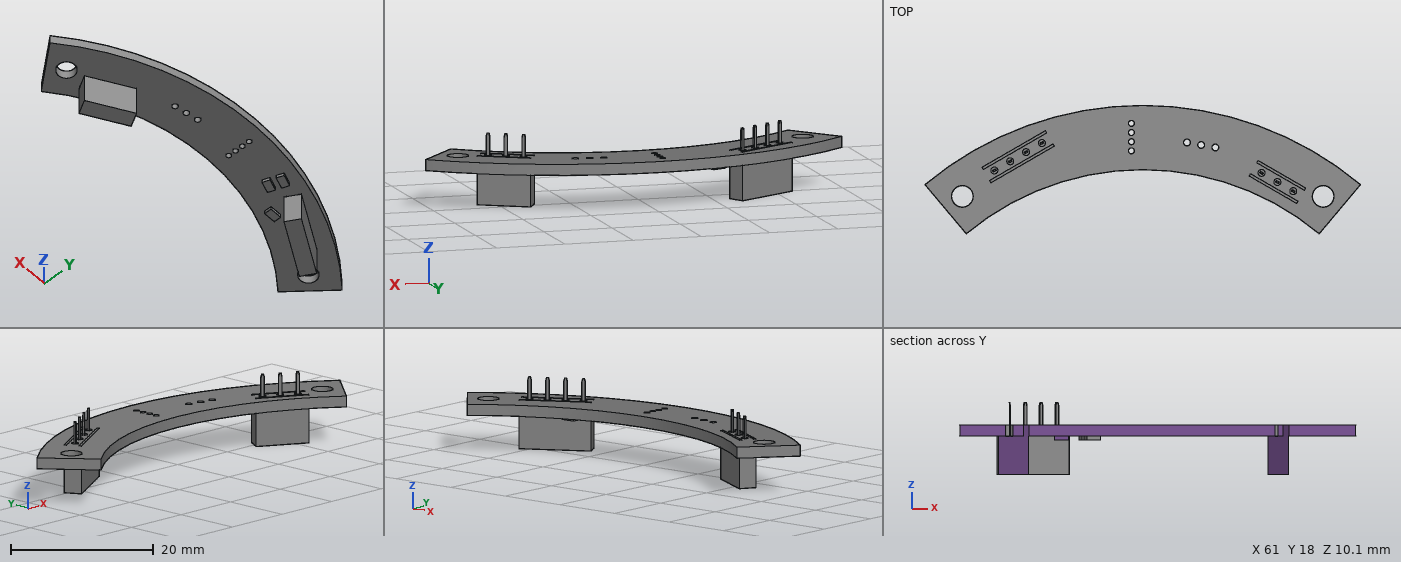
import cadquery as cq
LENGTH = 61.05
DEPTH = 18.0
THICKNESS = 1.6
CORNER_DROP = 11.1
INNER_CROWN_DROP = 9.05
INNER_HALF_SPAN = 24.7

MOUNT_HOLE_D = 3.0
MOUNT_HOLE_X = 25.3
MOUNT_HOLE_DROP = 12.75

COLUMN_HOLE_D = 0.8
COLUMN_HOLES = 4
COLUMN_PITCH = 1.3
COLUMN_CENTRE = (-1.6, -4.45)
COLUMN_ANGLE = 90.0
ROW_HOLE_D = 0.9
ROW_HOLES = 3
ROW_PITCH = 2.0
ROW_CENTRE = (8.2, -5.55)
ROW_ANGLE = -10.0

PIN_PITCH = 2.55
PIN_HOLE_D = 1.0
PIN_WIDTH = 0.5
PIN_DEPTH = 0.25
PIN_HEIGHT = 3.1
TIP_BEVEL_WIDTH = 0.1
TIP_BEVEL_HEIGHT = 0.4
HOUSING_WIDTH = 2.5
HOUSING_HEIGHT = 5.4
RAIL_WIDTH = 0.35
LEFT_CONNECTOR = (4, (-17.45, -7.2), 30.0)
RIGHT_CONNECTOR = (3, (18.85, -10.75), -30.0)

CHIP_LENGTH = 2.0
CHIP_WIDTH = 1.2
CHIP_HEIGHT = 0.55
CHIPS = [
    ((-13.5, -8.85), 0.0),
    ((-9.9, -3.65), 20.0),
    ((-9.15, -5.7), 20.0),
]


def on_plane(centre, angle, z=0.0):
    """Workplane at a height, moved to a centre and turned about Z."""
    return cq.Workplane("XY", origin=(*centre, z)).transformed(rotate=(0, 0, angle))


def row_points(count, pitch):
    """Evenly spaced points along X, centred on the origin."""
    return [((i - (count - 1) / 2) * pitch, 0) for i in range(count)]


def drill(board, plane, points, diameter):
    """Round holes through the board at points on a workplane on its top."""
    return board.cut(plane.pushPoints(points).circle(diameter / 2).extrude(-THICKNESS))


def make_rails(pins, centre, angle):
    """Two rails that pass through the board, also the shape of their slots."""
    offset = (HOUSING_WIDTH - RAIL_WIDTH) / 2
    places = [(0, -offset), (0, offset)]
    return on_plane(centre, angle).pushPoints(places).rect(pins * PIN_PITCH, RAIL_WIDTH).extrude(-THICKNESS)


def make_board():
    board = (
        cq.Workplane("XY", origin=(0, 0, -THICKNESS))
        .moveTo(-LENGTH / 2, -CORNER_DROP)
        .threePointArc((0, 0), (LENGTH / 2, -CORNER_DROP))
        .lineTo(INNER_HALF_SPAN, -DEPTH)
        .threePointArc((0, -INNER_CROWN_DROP), (-INNER_HALF_SPAN, -DEPTH))
        .close()
        .extrude(THICKNESS)
    )

    mount_points = [(side * MOUNT_HOLE_X, -MOUNT_HOLE_DROP) for side in (-1, 1)]
    board = drill(board, cq.Workplane("XY"), mount_points, MOUNT_HOLE_D)
    column = on_plane(COLUMN_CENTRE, COLUMN_ANGLE)
    board = drill(board, column, row_points(COLUMN_HOLES, COLUMN_PITCH), COLUMN_HOLE_D)
    row = on_plane(ROW_CENTRE, ROW_ANGLE)
    board = drill(board, row, row_points(ROW_HOLES, ROW_PITCH), ROW_HOLE_D)
    for pins, centre, angle in (LEFT_CONNECTOR, RIGHT_CONNECTOR):
        plane = on_plane(centre, angle)
        board = drill(board, plane, row_points(pins, PIN_PITCH), PIN_HOLE_D)
        board = board.cut(make_rails(pins, centre, angle))
    return board


def make_pin(x, centre, angle):
    """Flat pin standing on the housing, its two narrow sides bevelled at the tip."""
    half = PIN_WIDTH / 2
    tip = half - TIP_BEVEL_WIDTH
    shoulder = PIN_HEIGHT - TIP_BEVEL_HEIGHT
    outline = [
        (-half, -THICKNESS),
        (half, -THICKNESS),
        (half, shoulder),
        (tip, PIN_HEIGHT),
        (-tip, PIN_HEIGHT),
        (-half, shoulder),
    ]
    return (
        on_plane(centre, angle)
        .center(x, 0)
        .transformed(rotate=(90, 0, 0))
        .polyline(outline)
        .close()
        .extrude(PIN_DEPTH / 2, both=True)
    )


def make_connector(pins, centre, angle):
    """Housing under the board with its rails and pins, as one solid."""
    bottom = on_plane(centre, angle, -THICKNESS)
    housing = bottom.rect(pins * PIN_PITCH, HOUSING_WIDTH).extrude(-HOUSING_HEIGHT)
    housing = housing.union(make_rails(pins, centre, angle))
    for x, _ in row_points(pins, PIN_PITCH):
        housing = housing.union(make_pin(x, centre, angle))
    return housing


def make_chip(centre, angle):
    return on_plane(centre, angle, -THICKNESS).rect(CHIP_LENGTH, CHIP_WIDTH).extrude(-CHIP_HEIGHT)


board = make_board()
connectors = [make_connector(*place) for place in (LEFT_CONNECTOR, RIGHT_CONNECTOR)]
chips = [make_chip(*place) for place in CHIPS]
result = cq.Compound.makeCompound([body.val() for body in (board, *connectors, *chips)])